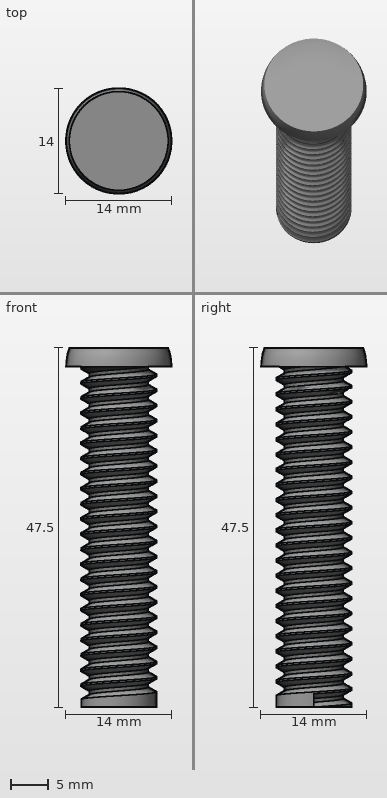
import cadquery as cq
import math

total_length = 47.5
head_diameter = 14.0
head_height = 2.5
shank_length = total_length - head_height

major_diameter = 10.0
thread_pitch = 2.0
sharp_thread_height = thread_pitch * math.sqrt(3) / 2
thread_depth = sharp_thread_height * 5 / 8
crest_width = thread_pitch / 8
root_width = thread_pitch / 4

major_radius = major_diameter / 2
root_radius = major_radius - thread_depth
mouth_width = thread_pitch - crest_width
groove_start_height = mouth_width / 2

cutter_overreach = 0.05
flank_slope = (mouth_width - root_width) / 2 / thread_depth
cutter_radius = major_radius + cutter_overreach
cutter_half_width = mouth_width / 2 + flank_slope * cutter_overreach


def make_head():
    """Disc whose rim is a band of a sphere, widest at the underside."""
    sphere_radius = head_diameter / 2

    def rim_radius(height):
        return math.sqrt(sphere_radius**2 - height**2)

    middle_height = head_height / 2
    profile = (
        cq.Workplane("XZ")
        .lineTo(sphere_radius, 0)
        .threePointArc(
            (rim_radius(middle_height), middle_height),
            (rim_radius(head_height), head_height),
        )
        .lineTo(0, head_height)
        .close()
    )
    return profile.revolve(360, (0, 0), (0, 1)).translate((0, 0, shank_length))


def make_thread_groove():
    """Right-hand helical groove that runs out beyond the top of the shank."""
    groove_rise = shank_length + thread_pitch - groove_start_height

    def corner_helix(radius, axial_offset):
        start = cq.Vector(0, 0, groove_start_height + axial_offset)
        return cq.Wire.makeHelix(thread_pitch, groove_rise, radius, center=start)

    corners = [
        corner_helix(root_radius, -root_width / 2),
        corner_helix(cutter_radius, -cutter_half_width),
        corner_helix(cutter_radius, cutter_half_width),
        corner_helix(root_radius, root_width / 2),
    ]
    next_corners = corners[1:] + corners[:1]
    faces = [cq.Face.makeRuledSurface(edge, following) for edge, following in zip(corners, next_corners)]

    for end_points in (
        [corner.startPoint() for corner in corners],
        [corner.endPoint() for corner in corners],
    ):
        faces.append(cq.Face.makeFromWires(cq.Wire.makePolygon(end_points, close=True)))

    return cq.Workplane(obj=cq.Solid.makeSolid(cq.Shell.makeShell(faces)))


shank = cq.Workplane("XY").circle(major_radius).extrude(shank_length)
threaded_shank = shank.cut(make_thread_groove())
result = threaded_shank.union(make_head())